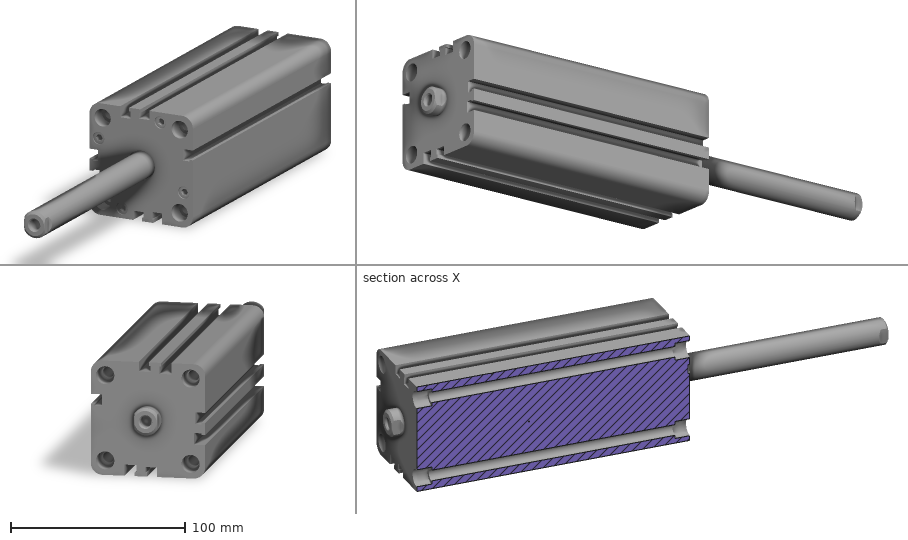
import cadquery as cq
import math

total_length = 310.5
front_tip_y = -total_length / 2
rear_tip_y = total_length / 2

body_width = 67.0
body_corner_radius = 6.8
body_length = 170.8
rear_rod_overhang = 7.5
body_rear_y = rear_tip_y - rear_rod_overhang
body_front_y = body_rear_y - body_length
half_width = body_width / 2

slot_mouth_width = 6.0
slot_undercut = 1.0
slot_lip_thickness = 2.2
deep_slot_wall_x = -13.7
deep_slot_depth = 6.5
shallow_slot_wall_x = 5.3
shallow_slot_depth = 5.5
deep_slot_angles = [0, 90, 180, 270]
shallow_slot_angles = [0, 90, 180]

corner_hole_spacing = 50.0
corner_hole_diameter = 6.5
corner_counterbore_diameter = 10.5
corner_counterbore_depth = 9.3
corner_hole_offset = corner_hole_spacing / 2

screw_angles = [0, 90, 180, 270]
screw_along_side = 12.5
screw_toward_side = 27.5
screw_recess_diameter = 7.5
screw_recess_depth = 1.0
screw_socket_across_flats = 3.7
screw_socket_depth = 2.5

rod_diameter = 16.0
rod_tip_chamfer_length = 1.2
rod_tip_chamfer_inset = 1.5
rod_radius = rod_diameter / 2

rod_seat_diameter = 17.7
rod_seat_depth = 1.5

wrench_size = 13.5
flat_distance = wrench_size / 2
flat_length = 5.0
flat_runout_length = 2.0

bore_diameter = 6.5
bore_mouth_diameter = 8.0
bore_depth = 12.5
drill_point_angle = 118


def cylinder_y(x, z, start_y, length, diameter):
    """Cylinder along +Y from start_y."""
    return cq.Workplane(
        cq.Solid.makeCylinder(diameter / 2, length, cq.Vector(x, start_y, z), cq.Vector(0, 1, 0))
    )


def around_axis(shape, angle):
    """Turn a shape about Y by an angle in degrees, counter-clockwise when looking toward +Y."""
    return shape.rotate((0, 0, 0), (0, 1, 0), -angle)


def slot(wall_x, depth, lip_side):
    """Slot in the +Z side running the whole body; lip_side is the X direction of its lip."""
    mouth_x = wall_x + lip_side * slot_mouth_width
    undercut_x = mouth_x + lip_side * slot_undercut
    floor_z = half_width - depth
    lip_z = half_width - slot_lip_thickness
    outline = [
        (wall_x, half_width),
        (wall_x, floor_z),
        (undercut_x, floor_z),
        (undercut_x, lip_z),
        (mouth_x, lip_z),
        (mouth_x, half_width),
    ]
    return cq.Workplane("XZ", origin=(0, body_front_y, 0)).polyline(outline).close().extrude(-body_length)


def tie_screw_recess():
    """Round recess with a hexagon socket in its floor, on the front face."""
    recess = cylinder_y(screw_along_side, screw_toward_side, body_front_y, screw_recess_depth,
                        screw_recess_diameter)
    corner_up_angle = 30
    socket_across_corners = screw_socket_across_flats / math.cos(math.pi / 6)
    socket = (
        cq.Workplane("XZ", origin=(screw_along_side, body_front_y, screw_toward_side))
        .transformed(rotate=(0, 0, corner_up_angle))
        .polygon(6, socket_across_corners)
        .extrude(-(screw_recess_depth + screw_socket_depth))
    )
    return recess.union(socket)


def make_body():
    body = (
        cq.Workplane("XZ", origin=(0, body_front_y, 0))
        .rect(body_width, body_width)
        .extrude(-body_length)
        .edges("|Y")
        .fillet(body_corner_radius)
    )
    for angle in deep_slot_angles:
        body = body.cut(around_axis(slot(deep_slot_wall_x, deep_slot_depth, 1), angle))
    for angle in shallow_slot_angles:
        body = body.cut(around_axis(slot(shallow_slot_wall_x, shallow_slot_depth, -1), angle))
    for angle in screw_angles:
        body = body.cut(around_axis(tie_screw_recess(), angle))
    for x in (-corner_hole_offset, corner_hole_offset):
        for z in (-corner_hole_offset, corner_hole_offset):
            body = body.cut(cylinder_y(x, z, body_front_y, body_length, corner_hole_diameter))
            for start_y in (body_front_y, body_rear_y - corner_counterbore_depth):
                body = body.cut(
                    cylinder_y(x, z, start_y, corner_counterbore_depth, corner_counterbore_diameter)
                )
    return body.cut(cylinder_y(0, 0, body_front_y, rod_seat_depth, rod_seat_diameter))


def rod_end_flats():
    """Material removed on both sides of the front rod end, with a sloped run-out."""
    runout_start_y = front_tip_y + flat_length
    outline = [
        (flat_distance, front_tip_y),
        (rod_radius, front_tip_y),
        (rod_radius, runout_start_y + flat_runout_length),
        (flat_distance, runout_start_y),
    ]
    one_side = cq.Workplane("XY").polyline(outline).close().extrude(rod_radius, both=True)
    return one_side.union(one_side.mirror("YZ"))


def rod_end_bore():
    """Bore in the front rod end with a countersunk mouth and a conical drill point."""
    bore_radius = bore_diameter / 2
    mouth_radius = bore_mouth_diameter / 2
    point_length = bore_radius / math.tan(math.radians(drill_point_angle / 2))
    outline = [
        (0, front_tip_y),
        (mouth_radius, front_tip_y),
        (bore_radius, front_tip_y + mouth_radius - bore_radius),
        (bore_radius, front_tip_y + bore_depth),
        (0, front_tip_y + bore_depth + point_length),
    ]
    return cq.Workplane("XY").polyline(outline).close().revolve(360, (0, 0, 0), (0, 1, 0))


def make_rod():
    tip_face_radius = rod_radius - rod_tip_chamfer_inset
    profile = [
        (0, front_tip_y),
        (tip_face_radius, front_tip_y),
        (rod_radius, front_tip_y + rod_tip_chamfer_length),
        (rod_radius, rear_tip_y - rod_tip_chamfer_length),
        (tip_face_radius, rear_tip_y),
        (0, rear_tip_y),
    ]
    rod = cq.Workplane("XY").polyline(profile).close().revolve(360, (0, 0, 0), (0, 1, 0))
    for cutter in (rod_end_flats(), rod_end_bore()):
        rod = rod.cut(cutter).cut(cutter.mirror("XZ"))
    return rod


result = make_body().union(make_rod())